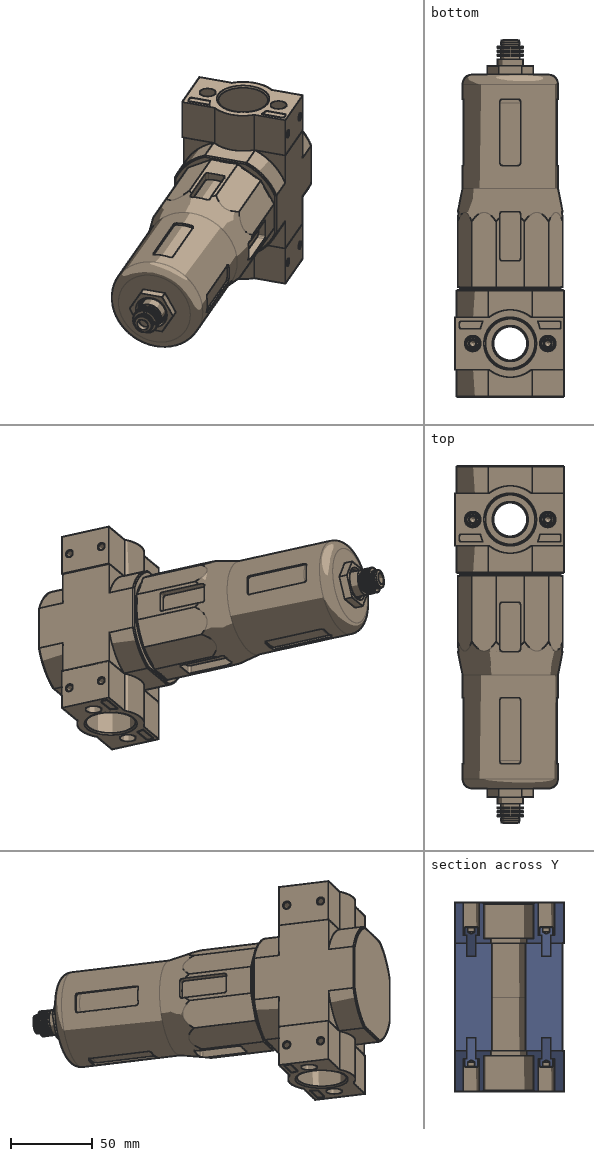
import cadquery as cq
import math


HOUSING_END = 33.0
GUARD_START = 34.0
GRIP_START = 34.6
CONE_END = 95.2
GUARD_END = 164.9
HEX_END = 170.1
COLLAR_END = 174.3
TOTAL_LENGTH = 219.22
DRAIN_END = TOTAL_LENGTH - HOUSING_END

HOUSING_HALF = 33.0
HOUSING_CORNER_R = 35.65
HOUSING_CHAMFER = 0.8
NECK_DIA = 62.0
PORT_BORE_DIA = 20.5

FLANGE_TOP = 58.0
FLANGE_WIDTH = 67.1
FLANGE_LEFT_X = -34.0
FLANGE_HALF_Y = 16.15
FLANGE_BOSS_DIA = 41.3
FLANGE_BORE_DIA = 22.0
THREAD_DIA = 30.29
THREAD_DEPTH = 22.0
THREAD_CHAMFER = 1.0
MOUNT_HOLE_Z = 45.5
MOUNT_HOLE_Y = 11.0
MOUNT_HOLE_DEPTH = 8.0
MARK_DEPTH = 0.3
MARK_OUTER_X = 31.1
MARK_INNER_X = 16.9
MARK_TOP_Y = -9.0
MARK_BOTTOM_Y = -13.6
MARK_SLANT = 1.4
MARK_CORNER = 1.0

TAP_DIA = 4.13
TAP_MOUTH_DIA = 5.0
DRILL_POINT_ANGLE = 118.0

SCREW_X = 23.0
SCREW_RECESS_DIA = 9.8
SCREW_RECESS_DEPTH = 15.0
SCREW_HEAD_DIA = 8.5
SCREW_FACE_DIA = 7.3
SCREW_HEAD_HEIGHT = 5.0
SCREW_SHANK_DIA = 5.0
SCREW_REACH_IN_HOUSING = 8.0
SCREW_SOCKET_DEPTH = 3.0

GUARD_SIDES = 12
GUARD_APOTHEM = 32.25
GUARD_R = 29.35
GUARD_CONE_SLOPE = 0.197
GUARD_FILLET = 6.0
WINDOW_WIDTH = 12.6
WINDOW_CORNER = 1.5
WINDOW_RANGES = [(50.6, 80.9), (109.1, 149.8)]
HEX_FLATS = 24.45
HEX_BORE_DIA = 18.0
HEX_CHAMFER = 1.2

BOWL_R = 28.0
BOWL_FILLET = 12.0
BOWL_END = 159.6
DRAIN_SEAT = 150.0

COLLAR_DIA = 15.8
DRAIN_NECK_DIA = 11.8
DRAIN_GROOVE_DIA = 11.0
RING_STARTS = [176.2, 178.6, 181.0]
RING_WIDTH = 1.1
RING_CHAMFER = 0.25
RING_SLOT_WIDTH = 1.5
TIP_LIP_START = 183.4
TIP_LIP_END = 184.5
TIP_LIP_DIA = 11.8
TIP_DIA = 11.0
TIP_BORE_DIA = 7.0
TIP_CONE = 0.5
TIP_BORE_DEPTH = 4.0


def rod(dia, start, end):
    """Cylinder on the filter axis between two distances from the port axis."""
    return cq.Workplane("XZ", origin=(0, -start, 0)).circle(dia / 2).extrude(end - start)


def revolve_on_filter_axis(profile):
    """Solid of revolution about Y from a closed profile of (radius, distance) points."""
    points = [(radius, -distance) for radius, distance in profile]
    return cq.Workplane("XY").polyline(points).close().revolve(360, (0, 0, 0), (0, 1, 0))


def tapped_hole_cutter(depth):
    """Tapped hole going down from the origin, with a conical mouth and a drill point."""
    mouth_r = TAP_MOUTH_DIA / 2
    tap_r = TAP_DIA / 2
    mouth_depth = mouth_r - tap_r
    tip_depth = depth + tap_r / math.tan(math.radians(DRILL_POINT_ANGLE / 2))
    profile = [(0, 0), (mouth_r, 0), (tap_r, -mouth_depth), (tap_r, -depth), (0, -tip_depth)]
    return cq.Workplane("XZ").polyline(profile).close().revolve(360, (0, 0, 0), (0, 1, 0))


def make_housing():
    width = 2 * HOUSING_HALF
    block = cq.Workplane("XY").box(width, 2 * HOUSING_END, width)
    round_block = rod(2 * HOUSING_CORNER_R, -HOUSING_END, HOUSING_END)
    body = block.intersect(round_block).faces("<Y or >Y").chamfer(HOUSING_CHAMFER)
    body = body.union(cq.Workplane("XY").box(width, 2 * FLANGE_HALF_Y, width))
    body = body.union(rod(NECK_DIA, 0, GUARD_START))
    port = cq.Workplane("XY").circle(PORT_BORE_DIA / 2).extrude(width / 2, both=True)
    return body.cut(port)


def mark_cutter(side):
    """Shallow label recess beside the port; side is -1 or 1."""
    outline = [
        (side * MARK_OUTER_X, MARK_BOTTOM_Y),
        (side * MARK_INNER_X, MARK_BOTTOM_Y),
        (side * (MARK_INNER_X + MARK_SLANT), MARK_TOP_Y),
        (side * MARK_OUTER_X, MARK_TOP_Y),
    ]
    plate = cq.Workplane("XY", origin=(0, 0, FLANGE_TOP - MARK_DEPTH)).polyline(outline).close()
    plate = plate.extrude(MARK_DEPTH)
    outer_edges = "|Z and <X" if side < 0 else "|Z and >X"
    return plate.edges(outer_edges).fillet(MARK_CORNER)


def make_flange():
    """Upper flange, resting on the top of the housing."""
    base = cq.Workplane("XY", origin=(0, 0, HOUSING_HALF))
    height = FLANGE_TOP - HOUSING_HALF
    middle_x = FLANGE_LEFT_X + FLANGE_WIDTH / 2
    flange = base.center(middle_x, 0).rect(FLANGE_WIDTH, 2 * FLANGE_HALF_Y).extrude(height)
    flange = flange.union(base.circle(FLANGE_BOSS_DIA / 2).extrude(height))
    flange = flange.cut(base.circle(FLANGE_BORE_DIA / 2).extrude(height))

    top = cq.Workplane("XY", origin=(0, 0, FLANGE_TOP))
    thread = top.circle(THREAD_DIA / 2).extrude(-THREAD_DEPTH)
    mouth = top.circle(THREAD_DIA / 2 + THREAD_CHAMFER)
    mouth = mouth.workplane(offset=-THREAD_CHAMFER).circle(THREAD_DIA / 2).loft()
    flange = flange.cut(thread).cut(mouth)

    screw_places = [(-SCREW_X, 0), (SCREW_X, 0)]
    flange = flange.cut(top.pushPoints(screw_places).circle(SCREW_SHANK_DIA / 2).extrude(-height))
    recesses = top.pushPoints(screw_places).circle(SCREW_RECESS_DIA / 2)
    flange = flange.cut(recesses.extrude(-SCREW_RECESS_DEPTH - SCREW_HEAD_HEIGHT))

    for side, face_x in ((-1, FLANGE_LEFT_X), (1, FLANGE_LEFT_X + FLANGE_WIDTH)):
        flange = flange.cut(mark_cutter(side))
        for y in (-MOUNT_HOLE_Y, MOUNT_HOLE_Y):
            hole = tapped_hole_cutter(MOUNT_HOLE_DEPTH).rotate((0, 0, 0), (0, 1, 0), side * 90)
            flange = flange.cut(hole.translate((face_x, y, MOUNT_HOLE_Z)))
    return flange


def make_screw():
    """Upper flange screw on the Z axis, its head at the bottom of the flange recess."""
    head_top = FLANGE_TOP - SCREW_RECESS_DEPTH
    head_bottom = head_top - SCREW_HEAD_HEIGHT
    shank_end = HOUSING_HALF - SCREW_REACH_IN_HOUSING
    head = cq.Workplane("XY", origin=(0, 0, head_bottom)).circle(SCREW_HEAD_DIA / 2)
    head = head.extrude(SCREW_HEAD_HEIGHT)
    head = head.faces(">Z").chamfer((SCREW_HEAD_DIA - SCREW_FACE_DIA) / 2)
    shank = cq.Workplane("XY", origin=(0, 0, shank_end)).circle(SCREW_SHANK_DIA / 2)
    screw = head.union(shank.extrude(head_bottom - shank_end))
    return screw.cut(tapped_hole_cutter(SCREW_SOCKET_DEPTH).translate((0, 0, head_top)))


def make_bowl():
    bowl = rod(2 * BOWL_R, GUARD_START, BOWL_END)
    return bowl.faces("<Y").edges().fillet(BOWL_FILLET)


def window_cutter(start, end):
    """Rounded window through the upper guard wall, down to the filter axis."""
    middle = cq.Workplane("XY", origin=(0, -(start + end) / 2, 0))
    window = middle.rect(WINDOW_WIDTH, end - start).extrude(2 * GUARD_APOTHEM)
    return window.edges("|Z").fillet(WINDOW_CORNER)


def make_guard(bowl):
    corner_dia = 2 * GUARD_APOTHEM / math.cos(math.pi / GUARD_SIDES)
    start = cq.Workplane("XZ", origin=(0, -GRIP_START, 0))
    start = start.transformed(rotate=(0, 0, 180 / GUARD_SIDES))
    grip = start.polygon(GUARD_SIDES, corner_dia).extrude(CONE_END - GRIP_START)

    cone_start_r = GUARD_R + GUARD_CONE_SLOPE * (CONE_END - GRIP_START)
    cone = revolve_on_filter_axis(
        [(0, GRIP_START), (cone_start_r, GRIP_START), (GUARD_R, CONE_END), (0, CONE_END)]
    )
    barrel = rod(2 * GUARD_R, CONE_END, GUARD_END).faces("<Y").edges().fillet(GUARD_FILLET)
    lip = rod(NECK_DIA, GUARD_START, GRIP_START)
    guard = grip.intersect(cone).union(barrel).union(lip)

    hexagon = cq.Workplane("XZ", origin=(0, -GUARD_END, 0))
    hexagon = hexagon.polygon(6, HEX_FLATS / math.cos(math.pi / 6)).extrude(HEX_END - GUARD_END)
    hexagon = hexagon.cut(rod(HEX_BORE_DIA, GUARD_END, HEX_END))
    hexagon = hexagon.faces("<Y").edges("%CIRCLE").chamfer(HEX_CHAMFER)
    guard = guard.union(hexagon)

    guard = guard.cut(bowl).cut(rod(COLLAR_DIA, BOWL_END, GUARD_END))
    for start_distance, end_distance in WINDOW_RANGES:
        window = window_cutter(start_distance, end_distance)
        for quarter in range(4):
            guard = guard.cut(window.rotate((0, 0, 0), (0, 1, 0), 90 * quarter))
    return guard


def make_drain():
    drain = rod(COLLAR_DIA, DRAIN_SEAT, COLLAR_END)
    rings_end = RING_STARTS[-1] + RING_WIDTH
    drain = drain.union(rod(DRAIN_NECK_DIA, COLLAR_END, rings_end))
    drain = drain.union(rod(DRAIN_GROOVE_DIA, rings_end, TIP_LIP_START))

    slots = ((COLLAR_DIA, RING_SLOT_WIDTH), (RING_SLOT_WIDTH, COLLAR_DIA))
    for ring_start in RING_STARTS:
        ring = rod(COLLAR_DIA, ring_start, ring_start + RING_WIDTH)
        ring = ring.edges("%CIRCLE").chamfer(RING_CHAMFER)
        face = cq.Workplane("XZ", origin=(0, -ring_start, 0))
        for slot_x, slot_z in slots:
            ring = ring.cut(face.rect(slot_x, slot_z).extrude(RING_WIDTH))
        drain = drain.union(ring)

    lip_r = TIP_LIP_DIA / 2
    tip_r = TIP_DIA / 2
    drain = drain.union(
        revolve_on_filter_axis(
            [
                (0, TIP_LIP_START),
                (lip_r, TIP_LIP_START),
                (lip_r, TIP_LIP_END),
                (tip_r, TIP_LIP_END),
                (tip_r, DRAIN_END - TIP_CONE),
                (TIP_BORE_DIA / 2, DRAIN_END),
                (0, DRAIN_END),
            ]
        )
    )
    return drain.cut(rod(TIP_BORE_DIA, DRAIN_END - TIP_BORE_DEPTH, DRAIN_END))


upper_flange = make_flange()
flanges = [upper_flange, upper_flange.mirror("XY")]

screws = []
for screw_x in (-SCREW_X, SCREW_X):
    upper_screw = make_screw().translate((screw_x, 0, 0))
    screws += [upper_screw, upper_screw.mirror("XY")]

housing = make_housing()
for screw in screws:
    housing = housing.cut(screw)

bowl_blank = make_bowl()
guard = make_guard(bowl_blank)
bowl = bowl_blank.cut(rod(COLLAR_DIA, DRAIN_SEAT, BOWL_END))
drain = make_drain()

bodies = [housing, *flanges, *screws, guard, bowl, drain]
result = cq.Compound.makeCompound([body.val() for body in bodies])